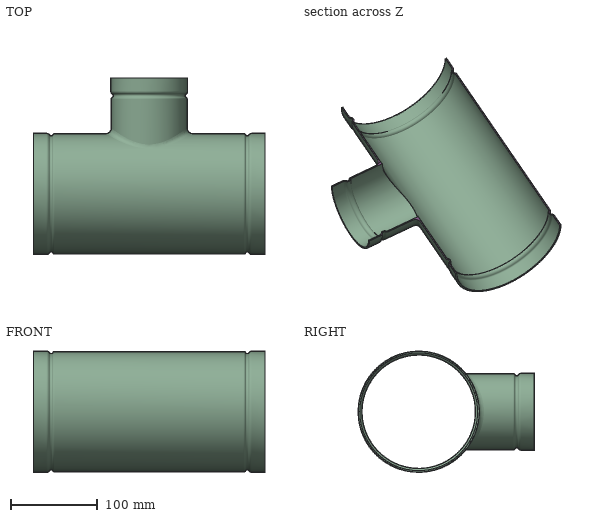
import cadquery as cq
import math

run_length = 266.7
branch_reach = 133.4
wall = 2.0

run_collar_diameter = 139.8
run_tube_diameter = 138.7
run_groove_diameter = 134.5

branch_collar_diameter = 88.8
branch_tube_diameter = 87.7
branch_groove_diameter = 83.2

collar_length = 15.2
tube_start = 24.3
collar_crest_radius = 4.0
collar_root_radius = 1.5
tube_crest_radius = 2.1
tube_root_radius = 1.3

saddle_fillet = 6.1


def groove_side(crest_at, crest_level, floor_level, crest_radius, root_radius, toward):
    """Points of an S-bend from crest to groove floor: two tangent arcs sharing one bend angle.

    Returns crest, crest arc middle, joint, root arc middle and floor as (axial, radial) pairs.
    toward is +1 or -1, the axial direction from crest to floor.
    """
    drop = crest_level - floor_level
    bend = math.acos(1 - drop / (crest_radius + root_radius))
    floor_at = crest_at + toward * (crest_radius + root_radius) * math.sin(bend)

    def crest_point(angle):
        axial = crest_at + toward * crest_radius * math.sin(angle)
        return axial, crest_level - crest_radius * (1 - math.cos(angle))

    def root_point(angle):
        axial = floor_at - toward * root_radius * math.sin(angle)
        return axial, floor_level + root_radius * (1 - math.cos(angle))

    return crest_point(0), crest_point(bend / 2), crest_point(bend), root_point(bend / 2), root_point(0)


def half_pipe(length, collar_diameter, tube_diameter, groove_diameter, inset):
    """Solid of revolution about X from the origin to one grooved end, its skin moved in by inset."""
    collar_level = collar_diameter / 2 - inset
    tube_level = tube_diameter / 2 - inset
    floor_level = groove_diameter / 2 - inset
    tube_side = groove_side(
        length - tube_start, tube_level, floor_level,
        tube_crest_radius - inset, tube_root_radius + inset, 1,
    )
    collar_side = groove_side(
        length - collar_length, collar_level, floor_level,
        collar_crest_radius - inset, collar_root_radius + inset, -1,
    )
    tube_crest, tube_crest_middle, tube_joint, tube_root_middle, tube_floor = tube_side
    collar_crest, collar_crest_middle, collar_joint, collar_root_middle, collar_floor = collar_side
    return (
        cq.Workplane("XY")
        .lineTo(0, tube_level)
        .lineTo(*tube_crest)
        .threePointArc(tube_crest_middle, tube_joint)
        .threePointArc(tube_root_middle, tube_floor)
        .lineTo(*collar_floor)
        .threePointArc(collar_root_middle, collar_joint)
        .threePointArc(collar_crest_middle, collar_crest)
        .lineTo(length, collar_level)
        .lineTo(length, 0)
        .close()
        .revolve(360, (0, 0, 0), (1, 0, 0))
    )


def tee(inset):
    """Run and branch joined as one filled body, its skin moved in by inset."""
    run_half = half_pipe(
        run_length / 2, run_collar_diameter, run_tube_diameter, run_groove_diameter, inset
    ).rotate((0, 0, 0), (1, 0, 0), 180)
    branch = half_pipe(
        branch_reach, branch_collar_diameter, branch_tube_diameter, branch_groove_diameter, inset
    ).rotate((0, 0, 0), (0, 0, 1), 90)
    return run_half.union(run_half.mirror("YZ")).union(branch)


box_half_width = branch_collar_diameter / 2
saddle_box = cq.selectors.BoxSelector(
    (-box_half_width, 0, -box_half_width),
    (box_half_width, run_collar_diameter / 2, box_half_width),
    boundingbox=True,
)
outer_body = tee(0).edges(saddle_box).fillet(saddle_fillet)

result = outer_body.cut(tee(wall))